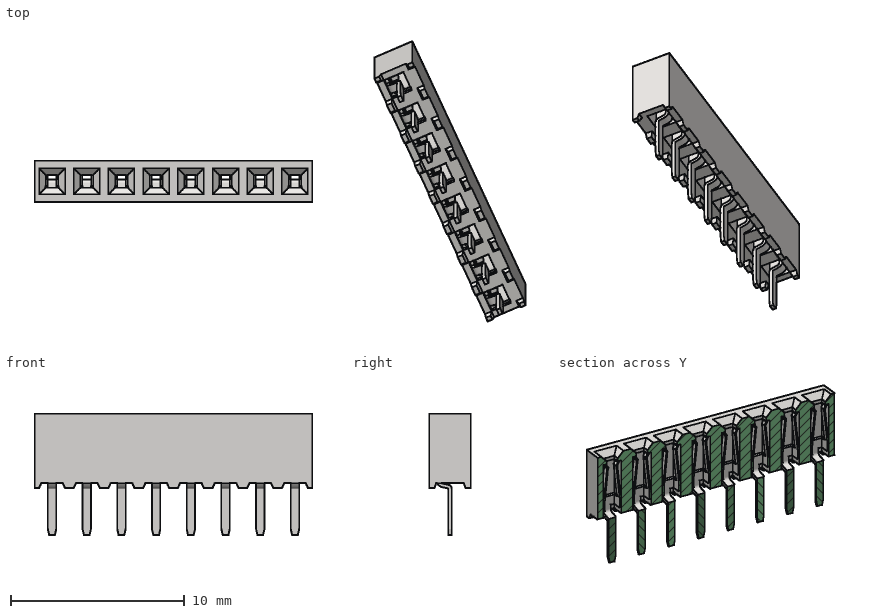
import cadquery as cq
import math

positions = 8
pitch = 2.0
body_depth = 2.4
body_height = 4.3
foot_height = 0.3
tail_drop = 2.7

cross_notch_floor = 1.22
cross_notch_mouth = 1.5
long_notch_floor = 1.56
long_notch_mouth = 1.8

funnel_mouth = 1.5
throat_width = 0.73
throat_depth = 0.22

sheet = 0.22
tail_width = 0.5
tip_width = 0.34
tip_length = 0.36
lower_bend_radius = 0.03
lower_bend_z = -0.04
upper_bend_radius = 0.2
arm_slope = math.radians(12)
plate_outer_y = -0.78
shoulder_z = 0.7
fold_height = 0.6
contact_width = 1.2
leaf_sheet = 0.12
leaf_back_y = -0.27
leaf_front_y = 0.45
leaf_gap = 0.5
pinch_z = 3.46
flare_gap = 0.74
leaf_top_z = 3.66

body_length = positions * pitch
funnel_depth = (funnel_mouth - throat_width) / 2
funnel_floor_z = body_height - funnel_depth
cavity_top_z = funnel_floor_z - throat_depth
fold_top_z = shoulder_z + fold_height
lower_outer_radius = lower_bend_radius + sheet
upper_outer_radius = upper_bend_radius + sheet
centres_x = [(i - (positions - 1) / 2) * pitch for i in range(positions)]


def notch(plane, floor, mouth, length):
    """Trapezoid prism cut into the underside, centred on the origin."""
    points = [(-mouth / 2, 0), (-floor / 2, foot_height), (floor / 2, foot_height), (mouth / 2, 0)]
    return cq.Workplane(plane).polyline(points).close().extrude(length / 2, both=True)


def socket():
    """Funnel, throat and contact cavity of one position, centred on X = 0."""
    funnel = (
        cq.Workplane("XY", origin=(0, 0, funnel_floor_z))
        .rect(throat_width, throat_width)
        .workplane(offset=funnel_depth)
        .rect(funnel_mouth, funnel_mouth)
        .loft(ruled=True)
    )
    throat = cq.Workplane("XY").box(throat_width, throat_width, funnel_floor_z, centered=(True, True, False))
    cavity_depth = leaf_front_y - plate_outer_y
    cavity = (
        cq.Workplane("XY", origin=(0, plate_outer_y, 0))
        .box(contact_width, cavity_depth, cavity_top_z, centered=(True, False, False))
    )
    return funnel.union(throat).union(cavity)


def make_housing():
    """Block with feet, notches and one socket per position."""
    housing = cq.Workplane("XY").box(body_length, body_depth, body_height, centered=(True, True, False))
    housing = housing.cut(notch("YZ", long_notch_floor, long_notch_mouth, body_length))
    for x in centres_x:
        cross_notch = notch("XZ", cross_notch_floor, cross_notch_mouth, body_depth)
        housing = housing.cut(cross_notch.translate((x, 0, 0)))
        housing = housing.cut(socket().translate((x, 0, 0)))
    return housing


def tail_strip():
    """Tail, sloping arm and lower back plate: one strip bent twice in the YZ plane."""
    lower_y = sheet / 2 - lower_outer_radius
    upper_y = plate_outer_y + upper_outer_radius
    across_y = math.sin(arm_slope)
    across_z = math.cos(arm_slope)
    radius_sum = lower_outer_radius + upper_bend_radius
    run = lower_y - upper_y + radius_sum * across_y
    upper_z = lower_bend_z + radius_sum * across_z + run * math.tan(arm_slope)

    bisector = (math.pi / 2 - arm_slope) / 2
    mid_y = math.cos(bisector)
    mid_z = math.sin(bisector)

    def lower(radius, y, z):
        return (lower_y + radius * y, lower_bend_z + radius * z)

    def upper(radius, y, z):
        return (upper_y - radius * y, upper_z - radius * z)

    strip = (
        cq.Workplane("YZ")
        .moveTo(sheet / 2, -tail_drop)
        .lineTo(sheet / 2, lower_bend_z)
        .threePointArc(lower(lower_outer_radius, mid_y, mid_z), lower(lower_outer_radius, across_y, across_z))
        .lineTo(*upper(upper_bend_radius, across_y, across_z))
        .threePointArc(upper(upper_bend_radius, mid_y, mid_z), upper(upper_bend_radius, 1, 0))
        .lineTo(plate_outer_y + sheet, shoulder_z)
        .lineTo(plate_outer_y, shoulder_z)
        .lineTo(plate_outer_y, upper_z)
        .threePointArc(upper(upper_outer_radius, mid_y, mid_z), upper(upper_outer_radius, across_y, across_z))
        .lineTo(*lower(lower_bend_radius, across_y, across_z))
        .threePointArc(lower(lower_bend_radius, mid_y, mid_z), lower(lower_bend_radius, 1, 0))
        .lineTo(-sheet / 2, -tail_drop)
        .close()
        .extrude(tail_width / 2, both=True)
    )
    half = tail_width / 2
    taper_z = tip_length - tail_drop
    outline = (
        cq.Workplane("XZ")
        .polyline([
            (-tip_width / 2, -tail_drop), (tip_width / 2, -tail_drop), (half, taper_z),
            (half, shoulder_z), (-half, shoulder_z), (-half, taper_z),
        ])
        .close()
        .extrude(body_depth / 2, both=True)
    )
    return strip.intersect(outline)


def fold():
    """U-shaped channel: wide back plate with a wall folded along each side."""
    depth = leaf_front_y - plate_outer_y
    channel = (
        cq.Workplane("XY", origin=(0, plate_outer_y, shoulder_z))
        .box(contact_width, depth, fold_height, centered=(True, False, False))
    )
    inside = (
        cq.Workplane("XY", origin=(0, plate_outer_y + sheet, shoulder_z))
        .box(contact_width - 2 * leaf_sheet, depth, fold_height, centered=(True, False, False))
    )
    return channel.cut(inside)


def leaf():
    """Spring leaf on the +X side: leans in to the pinch, then flares to guide a mating pin."""
    root = contact_width / 2 - leaf_sheet
    inner_face = [(root, fold_top_z), (leaf_gap / 2, pinch_z), (flare_gap / 2, leaf_top_z)]
    outer_face = [(x + leaf_sheet, z) for x, z in reversed(inner_face)]
    return (
        cq.Workplane("XZ", origin=(0, leaf_front_y, 0))
        .polyline(inner_face + outer_face)
        .close()
        .extrude(leaf_front_y - leaf_back_y)
    )


def make_contact():
    """One contact centred on X = 0."""
    right_leaf = leaf()
    left_leaf = right_leaf.mirror("YZ")
    return tail_strip().union(fold()).union(right_leaf).union(left_leaf)


housing = make_housing()
contact = make_contact()
contacts = [contact.translate((x, 0, 0)) for x in centres_x]

result = cq.Compound.makeCompound([housing.val(), *[c.val() for c in contacts]])